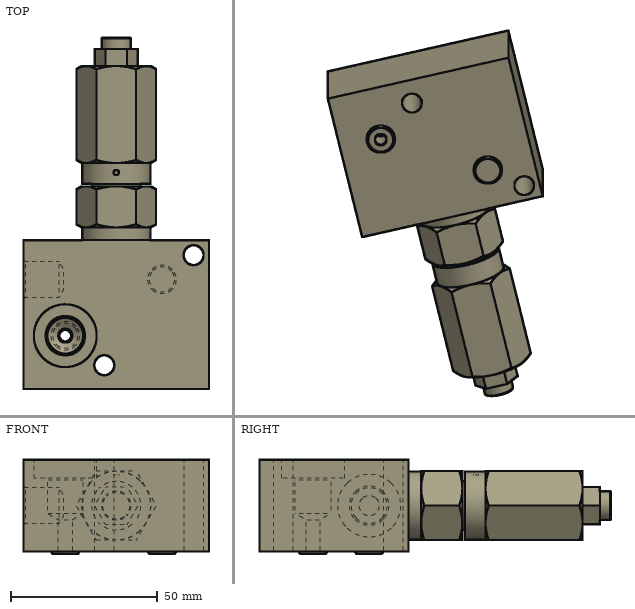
import cadquery as cq
import math

BLOCK_X = 63.5
BLOCK_Y = 51.0
BLOCK_Z = 31.5
MID_Z = BLOCK_Z / 2

VALVE_X = BLOCK_X / 2
BASE_END = 55.3
LOWER_HEX_END = 69.4
NECK_END = 70.3
COLLAR_END = 77.4
UPPER_HEX_END = 110.5
LOCKNUT_END = 116.5
TIP_END = 120.3

COLLAR_DIAMETER = 23.5
NECK_DIAMETER = 16.7
HEX_FLATS = 23.7
LOCKNUT_FLATS = 12.9
TIP_DIAMETER = 10.0
TIP_CHAMFER = 0.4
HEX_CHAMFER_ANGLE = 30
PIN_HOLE_DIAMETER = 1.8
PIN_HOLE_DEPTH = 1.2
PIN_HOLE_Y = 74.1

MOUNT_DIAMETER = 6.7
MOUNT_CENTRES = [(58.2, 45.8), (27.7, 8.2)]

TOP_PORT_X = 14.3
TOP_PORT_Y = 18.3
SIDE_PORT_Y = 37.5
SPOTFACE_DIAMETER = 21.5
TOP_SPOTFACE_DEPTH = 6.4
SIDE_SPOTFACE_DEPTH = 0.1
PORT_MOUTH_DIAMETER = 13.5
PORT_DIAMETER = 12.3
PORT_CHAMFER = (PORT_MOUTH_DIAMETER - PORT_DIAMETER) / 2
PORT_DEPTH = 12.0
DRILL_POINT_ANGLE = 118
TOP_PASSAGE_DIAMETER = 4.8
SIDE_FLOOR_DIAMETER = 6.9

SEAL_HEIGHT = 0.8
SEAL_DIAMETER = 9.7
SEAL_BORE = 4.0
SEAL_TAPER_ANGLE = 35
BLANK_SEAL_X = 47.4


def rod(diameter, start, end):
    """Round bar on the valve axis between two Y positions."""
    plane = cq.Workplane("XZ", origin=(VALVE_X, start, MID_Z))
    return plane.circle(diameter / 2).extrude(start - end)


def hex_bar(flats, start, end):
    """Hexagonal bar on the valve axis with flats facing up and down."""
    corners = flats / math.cos(math.pi / 6)
    plane = cq.Workplane("XZ", origin=(VALVE_X, start, MID_Z))
    return plane.polygon(6, corners).extrude(start - end)


def chamfered_hex(flats, start, end):
    """Hexagonal bar with its corners turned down to a cone at both ends."""
    inner = flats / 2
    outer = inner / math.cos(math.pi / 6)
    drop = (outer - inner) * math.tan(math.radians(HEX_CHAMFER_ANGLE))
    envelope = (
        cq.Workplane("XY", origin=(VALVE_X, 0, MID_Z))
        .moveTo(0, start)
        .lineTo(inner, start)
        .lineTo(outer, start + drop)
        .lineTo(outer, end - drop)
        .lineTo(inner, end)
        .lineTo(0, end)
        .close()
        .revolve(360, (0, 0, 0), (0, 1, 0))
    )
    return hex_bar(flats, start, end).intersect(envelope)


def valve():
    """Cartridge valve stacked outwards from the block's +Y face."""
    collar_top = MID_Z + COLLAR_DIAMETER / 2
    pin_plane = cq.Workplane("XY", origin=(VALVE_X, PIN_HOLE_Y, collar_top))
    pin_hole = pin_plane.circle(PIN_HOLE_DIAMETER / 2).extrude(-PIN_HOLE_DEPTH)
    return (
        rod(COLLAR_DIAMETER, BLOCK_Y, BASE_END)
        .union(chamfered_hex(HEX_FLATS, BASE_END, LOWER_HEX_END))
        .union(rod(NECK_DIAMETER, LOWER_HEX_END, NECK_END))
        .union(rod(COLLAR_DIAMETER, NECK_END, COLLAR_END).cut(pin_hole))
        .union(chamfered_hex(HEX_FLATS, COLLAR_END, UPPER_HEX_END))
        .union(hex_bar(LOCKNUT_FLATS, UPPER_HEX_END, LOCKNUT_END))
        .union(rod(TIP_DIAMETER, LOCKNUT_END, TIP_END).faces(">Y").chamfer(TIP_CHAMFER))
    )


def port_cutter(spotface_depth, floor_diameter):
    """Port cavity opening at z = 0 and running down -Z to a flat floor."""
    port = PORT_DIAMETER / 2
    floor = floor_diameter / 2
    thread_end = spotface_depth + PORT_DEPTH
    cone_end = thread_end + (port - floor) / math.tan(math.radians(DRILL_POINT_ANGLE / 2))
    return (
        cq.Workplane("XZ")
        .lineTo(SPOTFACE_DIAMETER / 2, 0)
        .lineTo(SPOTFACE_DIAMETER / 2, -spotface_depth)
        .lineTo(PORT_MOUTH_DIAMETER / 2, -spotface_depth)
        .lineTo(port, -spotface_depth - PORT_CHAMFER)
        .lineTo(port, -thread_end)
        .lineTo(floor, -cone_end)
        .lineTo(0, -cone_end)
        .close()
        .revolve(360, (0, 0, 0), (0, 1, 0))
    )


def seal(x, y):
    """Shallow tapered disc under the block."""
    plane = cq.Workplane("XY", origin=(x, y, 0))
    return plane.circle(SEAL_DIAMETER / 2).extrude(-SEAL_HEIGHT, taper=SEAL_TAPER_ANGLE)


body = cq.Workplane("XY").box(BLOCK_X, BLOCK_Y, BLOCK_Z, centered=False)
body = body.union(valve())
body = body.union(seal(TOP_PORT_X, TOP_PORT_Y))
body = body.union(seal(BLANK_SEAL_X, SIDE_PORT_Y))

mount_holes = cq.Workplane("XY").pushPoints(MOUNT_CENTRES).circle(MOUNT_DIAMETER / 2).extrude(BLOCK_Z)
body = body.cut(mount_holes)

top_port = port_cutter(TOP_SPOTFACE_DEPTH, TOP_PASSAGE_DIAMETER)
body = body.cut(top_port.translate((TOP_PORT_X, TOP_PORT_Y, BLOCK_Z)))

passage_centre = cq.Workplane("XY", origin=(TOP_PORT_X, TOP_PORT_Y, 0))
body = body.cut(passage_centre.circle(TOP_PASSAGE_DIAMETER / 2).extrude(MID_Z))
body = body.cut(passage_centre.circle(SEAL_BORE / 2).extrude(-SEAL_HEIGHT))

side_port = port_cutter(SIDE_SPOTFACE_DEPTH, SIDE_FLOOR_DIAMETER)
side_port = side_port.rotate((0, 0, 0), (0, 1, 0), -90)
body = body.cut(side_port.translate((0, SIDE_PORT_Y, MID_Z)))

result = body